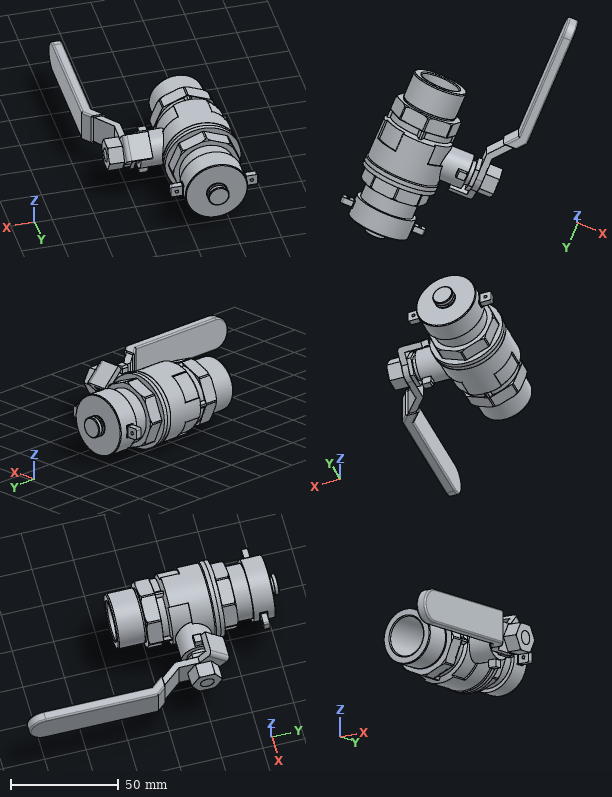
import cadquery as cq
import math


BORE_D = 19.0
BORE_MOUTH_D = 20.0
THREAD_D = 26.5
THREAD_END_D = 26.0
THREAD_END_CHAMFER = 0.7
THREAD_RELIEF = 0.8

OCTAGON_FLATS = 31.0
OCTAGON_CORNER_D = 33.2
OCTAGON_CHAMFER = 0.7

HOUSING_END_Y = -35.2
WRENCH_END_Y = -21.2
WRENCH_START_Y = -14.0
SHELL_END_Y = -10.7
RIB_END_Y = -9.9
SHELL_CHAMFER_Y = -9.1
SHELL_START_Y = 10.4
COLLAR_START_Y = 11.0
JOINT_Y = 13.0

SHELL_D = 35.6
FLANGE_D = 36.6
WAIST_D = 30.6
RIB_TOP_WIDTH = 1.0
RIB_BASE_WIDTH = 3.4

WINDOW_FLOOR_R = 16.9
WINDOW_TOP_Y = 0.0
WINDOW_START_ANGLE = 16.0
WINDOW_END_ANGLE = 62.7

NECK_D = 17.1
NECK_END_X = 28.2
STOP_START_X = 22.9
STOP_END_X = 27.4
STOP_WIDTH = 3.5
STOP_HEIGHT = 24.3
STOP_CHAMFER_X = 0.5
STOP_CHAMFER_Z = 1.2

FLANGE_END_Y = 15.2
RETAINER_WRENCH_END_Y = 22.0
RETAINER_END_Y = 38.2

CAP_D = 30.0
CAP_START_Y = 29.9
CAP_END_Y = 40.5
CAP_CHAMFER = 0.4
KNOB_D = 10.0
KNOB_GROOVE_D = 8.0
KNOB_GROOVE_START_Y = 41.5
KNOB_GROOVE_END_Y = 42.8
KNOB_END_Y = 44.8
KNOB_CHAMFER = 0.4
EAR_SPAN = 41.9
EAR_Y = 34.5
EAR_THICKNESS = 3.0
EAR_HEIGHT = 5.5
EAR_FILLET = 0.8
EAR_HOLE_D = 1.5
EAR_HOLE_X = 18.0
EAR_PAD_SPAN = 30.6
EAR_PAD_THICKNESS = 3.8
EAR_PAD_HEIGHT = 6.0

STEM_D = 12.0
STEM_DEPTH = 4.0
STEM_COLLAR_START_X = 30.5
STEM_COLLAR_CORNERS = 16.7
SHANK_D = 6.6
NUT_CORNERS = 15.2
NUT_END_X = 43.1
NUT_CHAMFER = 0.4

PLATE = 3.3
PLATE_X = 32.5
PLATE_TOP_X = PLATE_X + PLATE
HANDLE_HALF_WIDTH = 7.1
CRANK_Y = -12.3
CRANK_ANGLE = 40.0
CRANK_OFFSET = 11.3
TAB_ANGLE = 45.0
TAB_WIDTH = 12.7
TAB_REACH = 12.0
TAB_TIP_X = 23.6
TAB_FOLD_THICKNESS = 3.0
TAB_FOLD_R = 2.1

GRIP_WALL = 0.9
GRIP_START_Y = -20.7
GRIP_END_Y = -87.0
GRIP_FILLET = 0.8


def revolve_about_flow_axis(points):
    """Solid of revolution about Y from (radius, y) points."""
    return cq.Workplane("XY").polyline(points).close().revolve(360, (0, 0, 0), (0, 1, 0))


def flow_cylinder(diameter, y_start, y_end):
    plane = cq.Workplane("XZ", origin=(0, y_start, 0))
    return plane.circle(diameter / 2).extrude(y_start - y_end)


def stem_cylinder(diameter, x_start, x_end):
    plane = cq.Workplane("YZ", origin=(x_start, 0, 0))
    return plane.circle(diameter / 2).extrude(x_end - x_start)


def stem_hexagon(corner_diameter, x_start, x_end):
    plane = cq.Workplane("YZ", origin=(x_start, 0, 0))
    return plane.polygon(6, corner_diameter).extrude(x_end - x_start)


def block(x_range, y_range, z_range):
    size = [high - low for low, high in (x_range, y_range, z_range)]
    corner = (x_range[0], y_range[0], z_range[0])
    return cq.Workplane("XY", origin=corner).box(*size, centered=False)


def wrench_octagon(y_inner, y_outer):
    """Octagon with rounded corners, chamfered at its outer end."""
    across_corners = OCTAGON_FLATS / math.cos(math.pi / 8)
    prism = cq.Workplane("XZ", origin=(0, y_inner, 0)).polygon(8, across_corners)
    prism = prism.extrude(y_inner - y_outer)
    outward = math.copysign(1, y_outer - y_inner)
    radius = OCTAGON_CORNER_D / 2
    envelope = revolve_about_flow_axis([
        (0, y_inner),
        (radius, y_inner),
        (radius, y_outer - outward * OCTAGON_CHAMFER),
        (radius - OCTAGON_CHAMFER, y_outer),
        (0, y_outer),
    ])
    return prism.intersect(envelope)


def housing_shell():
    radius = SHELL_D / 2
    return revolve_about_flow_axis([
        (0, WRENCH_START_Y),
        (WAIST_D / 2, WRENCH_START_Y),
        (WAIST_D / 2, SHELL_END_Y),
        (radius, SHELL_CHAMFER_Y),
        (radius, SHELL_START_Y),
        (FLANGE_D / 2, COLLAR_START_Y),
        (FLANGE_D / 2, JOINT_Y),
        (0, JOINT_Y),
    ])


def housing_thread():
    relief_y = WRENCH_END_Y - THREAD_RELIEF
    return revolve_about_flow_axis([
        (0, WRENCH_END_Y),
        (THREAD_END_D / 2, WRENCH_END_Y),
        (THREAD_END_D / 2, relief_y),
        (THREAD_D / 2, relief_y),
        (THREAD_D / 2, HOUSING_END_Y + THREAD_END_CHAMFER),
        (THREAD_END_D / 2, HOUSING_END_Y),
        (0, HOUSING_END_Y),
    ])


def shell_window(start_angle, end_angle):
    """Sector of a ring to remove from the shell, with angles from +X towards +Z."""
    ring = flow_cylinder(FLANGE_D, SHELL_END_Y, WINDOW_TOP_Y)
    ring = ring.cut(flow_cylinder(2 * WINDOW_FLOOR_R, SHELL_END_Y, WINDOW_TOP_Y))
    reach = 2 * FLANGE_D
    sides = [math.radians(start_angle), math.radians(end_angle)]
    corners = [(reach * math.cos(side), reach * math.sin(side)) for side in sides]
    plane = cq.Workplane("XZ", origin=(0, SHELL_END_Y, 0))
    wedge = plane.polyline([(0, 0), *corners]).close().extrude(SHELL_END_Y - WINDOW_TOP_Y)
    return ring.intersect(wedge)


def waist_rib(angle):
    """Tapered rib that bridges the waist at one corner of the octagon."""
    root = WAIST_D / 4
    outline = [
        (root, -RIB_BASE_WIDTH / 2),
        (WAIST_D / 2, -RIB_BASE_WIDTH / 2),
        (OCTAGON_CORNER_D / 2, -RIB_TOP_WIDTH / 2),
        (OCTAGON_CORNER_D / 2, RIB_TOP_WIDTH / 2),
        (WAIST_D / 2, RIB_BASE_WIDTH / 2),
        (root, RIB_BASE_WIDTH / 2),
    ]
    plane = cq.Workplane("XZ", origin=(0, WRENCH_START_Y, 0))
    rib = plane.polyline(outline).close().extrude(WRENCH_START_Y - RIB_END_Y)
    return rib.rotate((0, 0, 0), (0, 1, 0), angle)


def stop_bar():
    half = STOP_HEIGHT / 2
    outline = [
        (STOP_END_X, -half),
        (STOP_END_X, half),
        (STOP_START_X + STOP_CHAMFER_X, half),
        (STOP_START_X, half - STOP_CHAMFER_Z),
        (STOP_START_X, -half + STOP_CHAMFER_Z),
        (STOP_START_X + STOP_CHAMFER_X, -half),
    ]
    return cq.Workplane("XZ").polyline(outline).close().extrude(STOP_WIDTH / 2, both=True)


def bore_mouth():
    depth = (BORE_MOUTH_D - BORE_D) / 2
    return revolve_about_flow_axis([
        (0, HOUSING_END_Y),
        (BORE_MOUTH_D / 2, HOUSING_END_Y),
        (BORE_D / 2, HOUSING_END_Y + depth),
        (0, HOUSING_END_Y + depth),
    ])


def make_housing():
    body = housing_shell()
    back_window = shell_window(180 - WINDOW_END_ANGLE, 180 - WINDOW_START_ANGLE)
    body = body.cut(back_window).cut(back_window.mirror("XY"))
    body = body.cut(shell_window(-WINDOW_END_ANGLE, WINDOW_END_ANGLE))
    for angle in range(0, 360, 90):
        body = body.union(waist_rib(angle))
    body = body.union(wrench_octagon(WRENCH_START_Y, WRENCH_END_Y))
    body = body.union(housing_thread())
    body = body.union(stem_cylinder(NECK_D, 0, NECK_END_X)).union(stop_bar())
    body = body.cut(flow_cylinder(BORE_D, HOUSING_END_Y, JOINT_Y)).cut(bore_mouth())
    return body.cut(stem_cylinder(STEM_D, NECK_END_X - STEM_DEPTH, NECK_END_X))


def make_retainer():
    body = flow_cylinder(FLANGE_D, JOINT_Y, FLANGE_END_Y)
    body = body.union(wrench_octagon(FLANGE_END_Y, RETAINER_WRENCH_END_Y))
    body = body.union(flow_cylinder(THREAD_D, FLANGE_END_Y, RETAINER_END_Y))
    return body.cut(flow_cylinder(BORE_D, JOINT_Y, RETAINER_END_Y))


def cap_ears():
    """Flat bar across the cap whose rounded ends are the two drilled ears."""
    bar = cq.Workplane("XY", origin=(0, EAR_Y, 0)).box(EAR_SPAN, EAR_THICKNESS, EAR_HEIGHT)
    bar = bar.edges("|Y").fillet(EAR_FILLET)
    pads = cq.Workplane("XY", origin=(0, EAR_Y, 0))
    bar = bar.union(pads.box(EAR_PAD_SPAN, EAR_PAD_THICKNESS, EAR_PAD_HEIGHT))
    holes = cq.Workplane("XZ", origin=(0, EAR_Y, 0))
    holes = holes.pushPoints([(-EAR_HOLE_X, 0), (EAR_HOLE_X, 0)])
    return bar.cut(holes.circle(EAR_HOLE_D / 2).extrude(EAR_THICKNESS, both=True))


def cap_knob():
    """Knob chamfered at both ends, with a groove around it."""
    knob = flow_cylinder(KNOB_D, CAP_END_Y, KNOB_END_Y).faces("<Y or >Y").chamfer(KNOB_CHAMFER)
    groove = flow_cylinder(KNOB_D, KNOB_GROOVE_START_Y, KNOB_GROOVE_END_Y)
    groove = groove.cut(flow_cylinder(KNOB_GROOVE_D, KNOB_GROOVE_START_Y, KNOB_GROOVE_END_Y))
    return knob.cut(groove)


def make_cap():
    body = flow_cylinder(CAP_D, CAP_START_Y, CAP_END_Y).faces(">Y").chamfer(CAP_CHAMFER)
    body = body.union(cap_ears())
    body = body.union(cap_knob())
    return body.cut(flow_cylinder(THREAD_D, CAP_START_Y, RETAINER_END_Y))


def make_stem():
    journal = stem_cylinder(STEM_D, NECK_END_X - STEM_DEPTH, STEM_COLLAR_START_X)
    collar = stem_hexagon(STEM_COLLAR_CORNERS, STEM_COLLAR_START_X, PLATE_X)
    return journal.union(collar).union(stem_cylinder(SHANK_D, PLATE_X, NUT_END_X))


def make_nut():
    body = stem_hexagon(NUT_CORNERS, PLATE_TOP_X, NUT_END_X)
    envelope = stem_cylinder(NUT_CORNERS, PLATE_TOP_X, NUT_END_X).faces(">X").chamfer(NUT_CHAMFER)
    return body.intersect(envelope).cut(stem_cylinder(SHANK_D, PLATE_TOP_X, NUT_END_X))


def cranked_strip(margin):
    """Cranked bar with a round end, larger than the handle strip by margin on every side."""
    half = PLATE / 2 + margin
    half_width = HANDLE_HALF_WIDTH + margin
    end_y = GRIP_END_Y + GRIP_WALL - margin
    near_x = PLATE_X + PLATE / 2
    far_x = near_x + CRANK_OFFSET
    second_bend_y = CRANK_Y - CRANK_OFFSET / math.tan(math.radians(CRANK_ANGLE))
    miter = half * math.tan(math.radians(CRANK_ANGLE / 2))
    side = [
        (near_x - half, 0),
        (near_x - half, CRANK_Y - miter),
        (far_x - half, second_bend_y - miter),
        (far_x - half, end_y),
        (far_x + half, end_y),
        (far_x + half, second_bend_y + miter),
        (near_x + half, CRANK_Y + miter),
        (near_x + half, 0),
    ]
    bar = cq.Workplane("XY").polyline(side).close().extrude(half_width, both=True)
    outline = (
        cq.Workplane("YZ")
        .moveTo(0, half_width)
        .lineTo(end_y + half_width, half_width)
        .threePointArc((end_y, 0), (end_y + half_width, -half_width))
        .lineTo(0, -half_width)
        .close()
    )
    return bar.intersect(outline.extrude(far_x + half))


def handle_tab():
    """Radial plate with its outer edge folded back over the neck, turned to its place."""
    half = TAB_WIDTH / 2
    upright = block((PLATE_X, PLATE_TOP_X), (-half, half), (0, TAB_REACH))
    fold_start_z = TAB_REACH - TAB_FOLD_THICKNESS
    fold = block((TAB_TIP_X, PLATE_TOP_X), (-half, half), (fold_start_z, TAB_REACH))
    tab = upright.union(fold).edges("|Y and >X and >Z").fillet(TAB_FOLD_R)
    return tab.rotate((0, 0, 0), (1, 0, 0), -TAB_ANGLE)


def make_handle():
    body = cranked_strip(0)
    body = body.union(stem_cylinder(2 * HANDLE_HALF_WIDTH, PLATE_X, PLATE_TOP_X))
    body = body.union(handle_tab())
    return body.cut(stem_cylinder(SHANK_D, PLATE_X, PLATE_TOP_X))


def make_grip():
    envelope = cranked_strip(GRIP_WALL).edges("not (|X or |Z)").fillet(GRIP_FILLET)
    beyond = 2 * abs(GRIP_END_Y)
    span = (-beyond, beyond)
    envelope = envelope.intersect(block(span, (-beyond, GRIP_START_Y), span))
    return envelope.cut(cranked_strip(0))


housing = make_housing()
retainer = make_retainer()
cap = make_cap()
stem = make_stem()
nut = make_nut()
handle = make_handle()
grip = make_grip()

result = cq.Compound.makeCompound([
    housing.val(),
    retainer.val(),
    cap.val(),
    stem.val(),
    nut.val(),
    handle.val(),
    grip.val(),
])